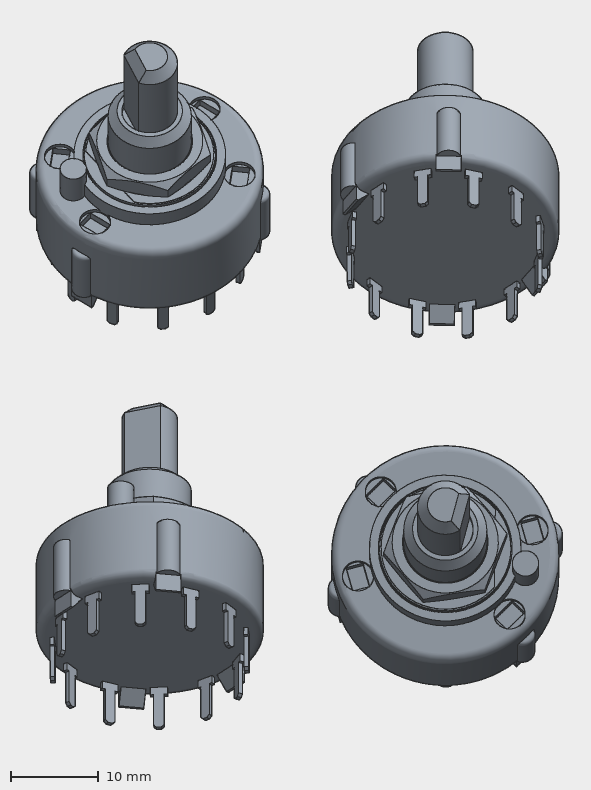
import cadquery as cq


HOUSING_D = 26.0
HOUSING_EDGE_R = 0.987
HOUSING_BOTTOM = 5.4
HOUSING_TOP = 15.9

HUB_D = 17.35
HUB_TOP = 17.9
WASHER_D = 15.0
WASHER_TOP = 18.05
WASHER_RECESS_D = 15.3
WASHER_RECESS_DEPTH = 0.3

PLATE_D = 14.65
PLATE_TOP = 18.13
PLATE_FLAT_OFFSET = 5.67
PLATE_FLAT_ANGLE = -76.0

NUT_CORNER_D = 14.3
NUT_TOP = 20.45
NUT_ANGLE = -6.0
NUT_FACE_D = 12.15
NUT_CHAMFER_HEIGHT = 0.57
NUT_BORE_D = 9.75
NUT_BORE_DEPTH = 0.18

BUSHING_D = 9.5
BUSHING_TOP = 25.92
BUSHING_TOP_D = 7.45
BUSHING_CHAMFER_HEIGHT = 0.9

SHAFT_D = 6.35
SHAFT_TOP = 35.9
SHAFT_CHAMFER = 1.15
SHAFT_FLAT_OFFSET = 2.3
SHAFT_FLAT_SINK = 0.9

LOCATOR_D = 3.0
LOCATOR_RADIUS = 9.48
LOCATOR_TOP = 19.9

POST_ANGLES = [60.0, 120.0, 240.0, 300.0]
POST_D = 2.87
POST_RADIUS = 12.4
POST_BOTTOM = 5.85
POST_TOP = 12.9
POST_EDGE_R = 0.43
HOOK_OUTER_RADIUS = 12.85
HOOK_BOTTOM = 3.7
HOOK_TIP_THICKNESS = 0.3
HOOK_ROOT_THICKNESS = 1.72
HOOK_ROOT_RADIUS = HOOK_OUTER_RADIUS - HOOK_ROOT_THICKNESS
POCKET_D = 3.55
POCKET_RADIUS = 10.35
POCKET_DEPTH = 0.45
SLOT_LENGTH = 2.87
SLOT_WIDTH = 2.0
SLOT_DEPTH = 1.4

TERMINAL_COUNT = 12
TERMINAL_RADIUS = 11.13
TERMINAL_THICKNESS = 0.5
TERMINAL_WIDTH = 1.22
TERMINAL_TIP_CHAMFER = 0.32
SHOULDER_WIDTH = 1.97
SHOULDER_BOTTOM = 4.4

EMBED = 0.35


def cylinder(diameter, bottom, top, x=0, y=0):
    """Vertical cylinder between two heights."""
    disc = cq.Workplane("XY", origin=(x, y, bottom)).circle(diameter / 2)
    return disc.extrude(top - bottom)


def turned(profile):
    """Solid of revolution about Z from (radius, height) points."""
    return cq.Workplane("XZ").polyline(profile).close().revolve(360, (0, 0, 0), (0, 1, 0))


def around(feature, angles):
    """Union of copies of a feature turned about Z."""
    copies = cq.Workplane("XY")
    for angle in angles:
        copies = copies.union(feature.rotate((0, 0, 0), (0, 0, 1), angle))
    return copies


def make_housing():
    return cylinder(HOUSING_D, HOUSING_BOTTOM, HOUSING_TOP).edges().fillet(HOUSING_EDGE_R)


def make_hub():
    hub = cylinder(HUB_D, HOUSING_TOP - EMBED, HUB_TOP)
    recess_floor = HUB_TOP - WASHER_RECESS_DEPTH
    hub = hub.cut(cylinder(WASHER_RECESS_D, recess_floor, HUB_TOP))
    return hub.union(cylinder(WASHER_D, recess_floor, WASHER_TOP))


def make_stop_plate():
    plate = cylinder(PLATE_D, WASHER_TOP, PLATE_TOP)
    beyond_flat = (
        cq.Workplane("XY", origin=(PLATE_FLAT_OFFSET + PLATE_D / 2, 0, WASHER_TOP))
        .rect(PLATE_D, PLATE_D)
        .extrude(PLATE_TOP - WASHER_TOP)
    )
    return plate.cut(beyond_flat).rotate((0, 0, 0), (0, 0, 1), PLATE_FLAT_ANGLE)


def make_nut():
    nut = (
        cq.Workplane("XY", origin=(0, 0, PLATE_TOP))
        .polygon(6, NUT_CORNER_D)
        .extrude(NUT_TOP - PLATE_TOP)
        .rotate((0, 0, 0), (0, 0, 1), NUT_ANGLE)
    )
    corner_trim = turned([
        (0, PLATE_TOP),
        (NUT_FACE_D / 2, PLATE_TOP),
        (NUT_CORNER_D / 2, PLATE_TOP + NUT_CHAMFER_HEIGHT),
        (NUT_CORNER_D / 2, NUT_TOP - NUT_CHAMFER_HEIGHT),
        (NUT_FACE_D / 2, NUT_TOP),
        (0, NUT_TOP),
    ])
    nut = nut.intersect(corner_trim)
    return nut.cut(cylinder(NUT_BORE_D, NUT_TOP - NUT_BORE_DEPTH, NUT_TOP))


def make_bushing():
    return turned([
        (0, WASHER_TOP),
        (BUSHING_D / 2, WASHER_TOP),
        (BUSHING_D / 2, BUSHING_TOP - BUSHING_CHAMFER_HEIGHT),
        (BUSHING_TOP_D / 2, BUSHING_TOP),
        (0, BUSHING_TOP),
    ]).cut(cylinder(SHAFT_D, BUSHING_TOP - SHAFT_FLAT_SINK, BUSHING_TOP))


def make_flat_cut():
    """Material in front of the shaft flat, widened at the top for a bevel."""
    floor = BUSHING_TOP - SHAFT_FLAT_SINK
    return (
        cq.Workplane("YZ")
        .polyline([
            (-SHAFT_D, floor),
            (-SHAFT_FLAT_OFFSET, floor),
            (-SHAFT_FLAT_OFFSET, SHAFT_TOP - SHAFT_CHAMFER),
            (-SHAFT_FLAT_OFFSET + SHAFT_CHAMFER, SHAFT_TOP),
            (-SHAFT_D, SHAFT_TOP),
        ])
        .close()
        .extrude(SHAFT_D / 2, both=True)
    )


def make_shaft():
    bottom = BUSHING_TOP - SHAFT_FLAT_SINK - EMBED
    shaft = cylinder(SHAFT_D, bottom, SHAFT_TOP).faces(">Z").chamfer(SHAFT_CHAMFER)
    return shaft.cut(make_flat_cut())


def make_post():
    """Rounded post and hook lying along +X."""
    post = cylinder(POST_D, POST_BOTTOM, POST_TOP, x=POST_RADIUS).faces(">Z").edges().fillet(POST_EDGE_R)
    hook = (
        cq.Workplane("XZ")
        .polyline([
            (HOOK_OUTER_RADIUS, HOOK_BOTTOM),
            (HOOK_OUTER_RADIUS, POST_BOTTOM + EMBED),
            (HOOK_ROOT_RADIUS, POST_BOTTOM + EMBED),
            (HOOK_ROOT_RADIUS, HOUSING_BOTTOM),
            (HOOK_OUTER_RADIUS - HOOK_TIP_THICKNESS, HOOK_BOTTOM),
        ])
        .close()
        .extrude(POST_D / 2, both=True)
    )
    return post.union(hook)


def make_pocket():
    """Round recess with a deeper rectangular slot, lying along +X."""
    recess = cylinder(POCKET_D, HOUSING_TOP - POCKET_DEPTH, HOUSING_TOP, x=POCKET_RADIUS)
    slot = (
        cq.Workplane("XY", origin=(POCKET_RADIUS, 0, HOUSING_TOP))
        .rect(SLOT_WIDTH, SLOT_LENGTH)
        .extrude(-SLOT_DEPTH)
    )
    return recess.union(slot)


def make_terminal():
    """Shouldered terminal lying along +X, its wide faces turned outward."""
    top = HOUSING_BOTTOM + EMBED
    at_ring = cq.Workplane("XY", origin=(TERMINAL_RADIUS, 0, 0))
    blade = at_ring.rect(TERMINAL_THICKNESS, TERMINAL_WIDTH).extrude(top)
    blade = blade.faces("<Z").edges("|X").chamfer(TERMINAL_TIP_CHAMFER)
    shoulder = (
        at_ring.workplane(offset=SHOULDER_BOTTOM)
        .rect(TERMINAL_THICKNESS, SHOULDER_WIDTH)
        .extrude(top - SHOULDER_BOTTOM)
    )
    return blade.union(shoulder)


terminal_step = 360 / TERMINAL_COUNT
terminal_angles = [terminal_step * (index + 0.5) for index in range(TERMINAL_COUNT)]

locator = cylinder(LOCATOR_D, HOUSING_TOP - EMBED, LOCATOR_TOP, y=-LOCATOR_RADIUS)

result = make_housing().cut(around(make_pocket(), POST_ANGLES))
result = result.union(make_hub())
result = result.union(make_stop_plate())
result = result.union(make_nut())
result = result.union(make_bushing())
result = result.union(make_shaft())
result = result.union(locator)
result = result.union(around(make_post(), POST_ANGLES))
result = result.union(around(make_terminal(), terminal_angles))